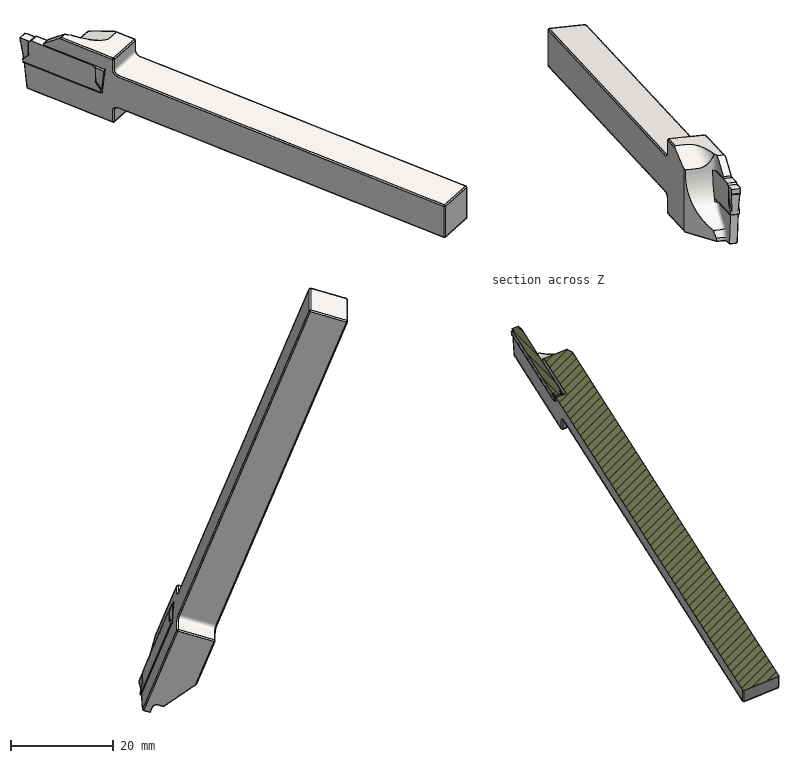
import cadquery as cq
import math


total_length = 100.0
holder_width = 8.0
shank_height = 8.0
edge_chamfer = 0.25

head_end = 22.0
head_top = 3.7
head_bottom = -12.0
shank_fillet = 1.0
clamp_nose_x = 5.5
clamp_nose_z = 0.7
clamp_slope_end = 9.5
blade_bottom_x = 1.6
blade_top_x = 0.9

blade_thickness = 1.6
scoop_radius = 10.7
scoop_center_z = -0.2
scoop_foot_x = 4.5
toe_x = 3.8
toe_z = -11.3
side_cut_y = -4.4
side_cut_end = 11.1
root_fillet = 0.9

relief_end = 17.5
relief_low_z = 1.0
relief_flat_width = 2.7
relief_radius = 3.5

insert_length = 19.8
insert_width = 1.9
insert_protrusion = 0.2
insert_top = 0.3
insert_bottom = -5.7
cutting_land_width = 0.4
cutting_land_drop = 0.1
flank_step_z = -1.1
flank_step_inset = 0.1
flank_step_height = 0.2
insert_bottom_inset = 0.8
tip_length = 2.3
tip_ramp = 0.4
seat_depth = 2.2
seat_end = 20.0
seat_end_lean = 0.7
tip_relief_length = 2.0
tip_relief_side_z = -3.5
tip_relief_foot_x = 0.8
tip_relief_foot_z = -4.8
tip_relief_depth = 0.3

front_y = -holder_width
blade_back_y = front_y + blade_thickness
insert_front_y = front_y - insert_protrusion
overcut = 5.0


def prism_along_y(points, y_start, y_end):
    """Extrude an outline of (X, Z) points between two Y planes."""
    outline = cq.Workplane("XZ", origin=(0, y_end, 0)).polyline(points).close()
    return outline.extrude(y_end - y_start)


def make_blank():
    """Head and shank as one plate, with every long edge and outer corner chamfered."""
    c = edge_chamfer
    r = shank_fillet
    arc_inset = r * (1 - math.sqrt(0.5))
    shank_start = head_end + r
    blank = (
        cq.Workplane("XZ")
        .moveTo(blade_bottom_x, head_bottom)
        .lineTo(head_end - c, head_bottom)
        .lineTo(head_end, head_bottom + c)
        .lineTo(head_end, -shank_height - r)
        .threePointArc((head_end + arc_inset, -shank_height - arc_inset), (shank_start, -shank_height))
        .lineTo(total_length - c, -shank_height)
        .lineTo(total_length, -shank_height + c)
        .lineTo(total_length, -c)
        .lineTo(total_length - c, 0)
        .lineTo(shank_start, 0)
        .threePointArc((head_end + arc_inset, arc_inset), (head_end, r))
        .lineTo(head_end, head_top - c)
        .lineTo(head_end - c, head_top)
        .lineTo(clamp_slope_end, head_top)
        .lineTo(clamp_nose_x, clamp_nose_z)
        .lineTo(clamp_nose_x, insert_bottom)
        .lineTo(blade_top_x, insert_bottom)
        .close()
        .extrude(holder_width)
    )
    behind_slope = cq.selectors.BoxSelector(
        (clamp_slope_end, -2 * holder_width, 2 * head_bottom),
        (2 * total_length, holder_width, 2 * head_top))
    return blank.faces("<Y or >Y").edges(behind_slope).chamfer(c)


def make_scoop():
    """Cylindrical hollow behind the blade, rounded where its wall meets the blade."""
    diagonal = scoop_radius * math.sqrt(0.5)
    left_x = -overcut
    top_z = head_top + overcut
    scoop = (
        cq.Workplane("XZ", origin=(0, overcut, 0))
        .moveTo(left_x, top_z)
        .lineTo(scoop_radius, top_z)
        .lineTo(scoop_radius, scoop_center_z)
        .threePointArc((diagonal, scoop_center_z - diagonal), (0, scoop_center_z - scoop_radius))
        .lineTo(left_x, scoop_center_z - scoop_radius)
        .close()
        .extrude(overcut - blade_back_y)
    )
    return scoop.faces("<Y").edges(">X").fillet(root_fillet)


def make_toe_cut():
    """Steep toe faces below the hollow, with the same rounding against the blade."""
    foot_z = scoop_center_z - math.sqrt(scoop_radius ** 2 - scoop_foot_x ** 2)
    lean = (scoop_foot_x - toe_x) / (foot_z - toe_z)
    low_z = head_bottom - overcut
    outline = [
        (-overcut, foot_z + overcut),
        (scoop_foot_x + lean * overcut, foot_z + overcut),
        (toe_x, toe_z),
        (toe_x, low_z),
        (-overcut, low_z),
    ]
    cutter = prism_along_y(outline, blade_back_y, overcut)
    return cutter.faces("<Y").edges("not(<X or >Z or <Z)").fillet(root_fillet)


def make_side_cut():
    """Vertical slanted face across the back corner of the head."""
    slope = -side_cut_y / (side_cut_end - toe_x)
    return (
        cq.Workplane("XY", origin=(0, 0, head_bottom - overcut))
        .polyline([(toe_x, side_cut_y), (side_cut_end + overcut, overcut * slope),
                   (side_cut_end, overcut * 2), (-overcut, overcut * 2), (-overcut, side_cut_y)])
        .close()
        .extrude(head_top - head_bottom + 2 * overcut)
    )


def make_top_relief():
    """Inclined flat with a concave side, falling towards the front of the head."""
    drop_angle = math.degrees(math.atan2(head_top - relief_low_z, relief_end - scoop_radius))
    length = 2 * relief_end
    width = relief_flat_width + relief_radius + overcut
    height = 2 * overcut
    cutter = cq.Workplane("XY").box(length, width, height, centered=False)
    cutter = cutter.translate((-length / 2, -relief_flat_width - relief_radius, 0))
    cutter = cutter.edges("<Y and <Z").fillet(relief_radius)
    cutter = cutter.rotate((0, 0, 0), (0, 1, 0), -drop_angle)
    return cutter.translate((relief_end, 0, head_top))


def make_seat():
    outline = [
        (-overcut, insert_top),
        (seat_end, insert_top),
        (seat_end - seat_end_lean, insert_bottom),
        (-overcut, insert_bottom),
    ]
    return prism_along_y(outline, front_y - overcut, front_y + seat_depth)


def make_holder():
    blank = make_blank()
    cutters = [make_scoop(), make_toe_cut(), make_side_cut(), make_top_relief(), make_seat()]
    for cutter in cutters:
        blank = blank.cut(cutter)
    return blank


def make_tip_relief():
    """Tapered clearance on the front side of the tip, deepest at its foot."""
    outline = [
        (-overcut, 0),
        (tip_relief_length, 0),
        (tip_relief_length, tip_relief_side_z),
        (tip_relief_foot_x, tip_relief_foot_z),
        (-overcut, tip_relief_foot_z),
    ]
    pocket = prism_along_y(outline, insert_front_y, insert_front_y + tip_relief_depth)
    wedge = (
        cq.Workplane("YZ", origin=(-overcut, 0, 0))
        .polyline([(insert_front_y, 0), (insert_front_y, tip_relief_foot_z),
                   (insert_front_y + tip_relief_depth, tip_relief_foot_z)])
        .close()
        .extrude(2 * overcut)
    )
    return pocket.intersect(wedge)


def make_insert():
    middle_x = insert_length / 2
    middle_y = insert_front_y + insert_width / 2
    top = [
        (0, -cutting_land_drop),
        (cutting_land_width, 0),
        (tip_length, 0),
        (tip_length + tip_ramp, insert_top),
    ]
    foot = [
        (insert_bottom_inset, insert_bottom),
        (2 * flank_step_inset, flank_step_z - flank_step_height),
        (flank_step_inset, flank_step_z),
    ]
    half_outline = foot + top
    outline = half_outline + [(insert_length - x, z) for x, z in reversed(half_outline)]
    insert = prism_along_y(outline, insert_front_y, insert_front_y + insert_width)
    relief = make_tip_relief()
    reliefs = [relief, relief.mirror("XZ", (0, middle_y, 0))]
    for side_relief in reliefs:
        insert = insert.cut(side_relief)
        insert = insert.cut(side_relief.mirror("YZ", (middle_x, 0, 0)))
    return insert


holder = make_holder()
insert = make_insert()
result = cq.Compound.makeCompound([holder.val(), insert.val()])